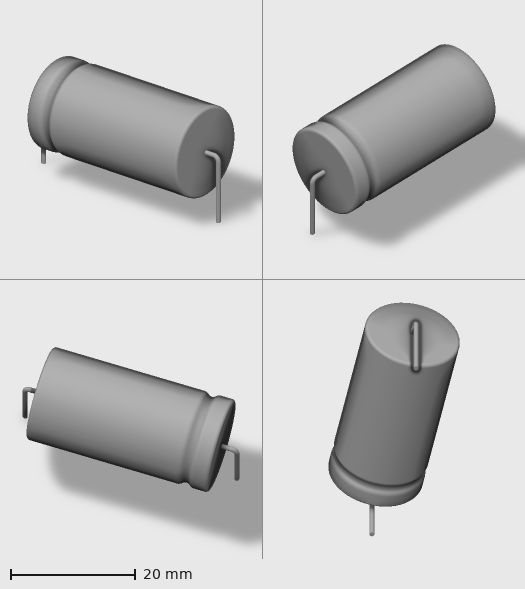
import cadquery as cq
import math

can_length = 30.47
can_radius = 7.75
can_edge_fillet = 0.5
groove_center_from_end = 3.78
groove_arc_radius = 0.98
groove_arc_angle = 45

plug_radius = 6.25
plug_thickness = 1.0

lead_span = 36.35
lead_diameter = 0.8
lead_bend_radius = 0.95
lead_drop = 11.55

can_end = can_length / 2
lead_x = (lead_span - lead_diameter) / 2
END_SIDES = (-1, 1)


def groove_cutter():
    """Ring with a concave floor arc blended into two convex shoulder arcs."""
    angle = math.radians(groove_arc_angle)
    center_x = -can_end + groove_center_from_end
    arc_width = groove_arc_radius * math.sin(angle)
    arc_depth = groove_arc_radius * (1 - math.cos(angle))
    mid_width = groove_arc_radius * math.sin(angle / 2)
    mid_depth = groove_arc_radius * (1 - math.cos(angle / 2))
    floor_radius = can_radius - 2 * arc_depth
    blend_radius = can_radius - arc_depth
    shoulder_mid_radius = can_radius - mid_depth
    profile = (
        cq.Workplane("XY")
        .moveTo(center_x - 2 * arc_width, can_radius)
        .threePointArc(
            (center_x - 2 * arc_width + mid_width, shoulder_mid_radius),
            (center_x - arc_width, blend_radius),
        )
        .threePointArc((center_x, floor_radius), (center_x + arc_width, blend_radius))
        .threePointArc(
            (center_x + 2 * arc_width - mid_width, shoulder_mid_radius),
            (center_x + 2 * arc_width, can_radius),
        )
        .close()
    )
    return profile.revolve(360, (0, 0, 0), (1, 0, 0))


def plug(side):
    """Disc whose outer face is flush with the can end on the given side."""
    inner_face_x = can_end - plug_thickness
    start_x = inner_face_x if side > 0 else -can_end
    return cq.Workplane("YZ", origin=(start_x, 0, 0)).circle(plug_radius).extrude(plug_thickness)


def make_can():
    """Filleted, grooved cylinder with a recess for the plug at each end."""
    can = cq.Workplane("YZ").circle(can_radius).extrude(can_end, both=True)
    can = can.faces("<X or >X").edges().fillet(can_edge_fillet)
    can = can.cut(groove_cutter())
    for side in END_SIDES:
        can = can.cut(plug(side))
    return can


def make_lead(side):
    """Wire that starts on the plug face, runs outward and bends toward -Z."""
    bend_start_x = lead_x - lead_bend_radius
    bend_mid_offset = lead_bend_radius * math.sin(math.radians(45))
    path = (
        cq.Workplane("XZ")
        .moveTo(side * can_end, 0)
        .lineTo(side * bend_start_x, 0)
        .threePointArc(
            (side * (bend_start_x + bend_mid_offset), bend_mid_offset - lead_bend_radius),
            (side * lead_x, -lead_bend_radius),
        )
        .lineTo(side * lead_x, -lead_drop)
    )
    start = cq.Workplane("YZ", origin=(side * can_end, 0, 0))
    return start.circle(lead_diameter / 2).sweep(path)


can = make_can()
plugs = [plug(side) for side in END_SIDES]
leads = [make_lead(side) for side in END_SIDES]

result = cq.Compound.makeCompound(
    [can.val(), *[body.val() for body in plugs], *[body.val() for body in leads]]
)